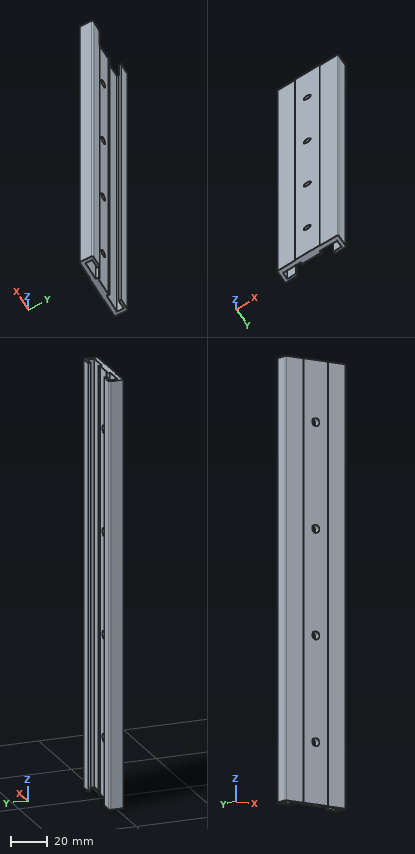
import cadquery as cq

width = 40.0
depth = 8.8
length = 250.0

wall = 2.2
lip_thickness = 1.5
lip_reach = 7.8
lip_corner_radius = 1.0
base_corner_radius = 0.5

base_thickness = 2.8
pad_width = 16.2
pad_height = 0.2

rib_width = 12.5
rib_height = 2.0
rib_edge_width = 0.8
rib_recess_depth = 0.8

hole_diameter = 4.5
hole_pitch = 60.0
hole_count = 4
first_hole_height = 35.0

pad_face = -depth / 2
base_outer = pad_face + pad_height
base_inner = base_outer + base_thickness
lip_outer = depth / 2
lip_inner = lip_outer - lip_thickness


def box(x_start, x_end, y_start, y_end):
    """Full-length bar between the given X and Y limits."""
    return (
        cq.Workplane("XY")
        .box(x_end - x_start, y_end - y_start, length, centered=False)
        .translate((x_start, y_start, -length / 2))
    )


def make_channel():
    """C-shaped channel that opens towards +Y."""
    half = width / 2
    outer = box(-half, half, base_outer, lip_outer)
    outer = outer.edges("|Z and >Y").fillet(lip_corner_radius)
    outer = outer.edges("|Z and <Y").fillet(base_corner_radius)
    cavity = box(-half + wall, half - wall, base_inner, lip_inner)
    opening = box(-half + lip_reach, half - lip_reach, base_inner, lip_outer)
    return outer.cut(cavity).cut(opening)


def make_pad():
    return box(-pad_width / 2, pad_width / 2, pad_face, base_outer)


def make_rib():
    """Central rib with a shallow recess along its top."""
    half = rib_width / 2
    recess_half = half - rib_edge_width
    rib_top = base_inner + rib_height
    rib = box(-half, half, base_inner, rib_top)
    return rib.cut(box(-recess_half, recess_half, rib_top - rib_recess_depth, rib_top))


def make_holes():
    """Row of round through holes."""
    centers = [
        (0, first_hole_height - length / 2 + index * hole_pitch)
        for index in range(hole_count)
    ]
    return (
        cq.Workplane("XZ")
        .pushPoints(centers)
        .circle(hole_diameter / 2)
        .extrude(depth / 2, both=True)
    )


result = make_channel().union(make_pad()).union(make_rib()).cut(make_holes())